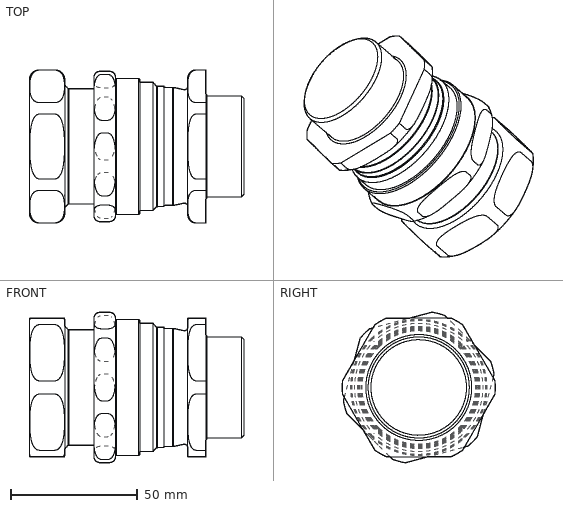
import cadquery as cq
import math


across_flats = 54.9
corner_diameter = 60.6
lock_nut_turn = 15

cap_hex_end = 14.1
cap_bevel_end = 15.4
cap_nut_end = 15.6
lock_hex_start = 25.5
lock_hex_end = 34.2
lock_barrel_start = 34.4
lock_nut_end = 43.8
gasket_bevel_start = 48.9
gasket_bevel_end = 50.2
gasket_end = 50.75
spacer_step = 53.2
spacer_ramp_end = 53.9
spacer_end = 56.7
taper_start = 57.1
entry_hex_start = 62.65
entry_hex_end = 69.9
thread_start = 70.4
overall_length = 85

cap_bevel_diameter = 48.45
neck_diameter = 45.7
lock_barrel_diameter = 54.0
lock_relief_diameter = 53.55
gasket_diameter = 50.8
gasket_lip_diameter = 47.9
spacer_diameter = 47.7
spacer_ramp_diameter = 47.0
spacer_small_diameter = 46.75
gap_diameter = 45.9
taper_end_diameter = 45.0
thread_diameter = 40.0
thread_base_diameter = 41.9

cap_rounding = 4.0
lock_rounding = 3.15
entry_rounding = 3.3
lock_barrel_chamfer = 0.5
thread_chamfer = 1.1
entry_fillet = 1.4

taper_end = entry_hex_start - entry_fillet


def turned(profile):
    """Solid of revolution about X; profile lists (x, diameter) along its outer line."""
    outer = [(x, diameter / 2) for x, diameter in profile]
    points = [(outer[0][0], 0), *outer, (outer[-1][0], 0)]
    return cq.Workplane("XY").polyline(points).close().revolve(360, (0, 0, 0), (1, 0, 0))


def hex_section(start, end, rounded_ends, rounding):
    """Hexagonal prism whose corners are cut by a cylinder with rounded rims."""
    prism = (
        cq.Workplane("YZ", origin=(start, 0, 0))
        .polygon(6, across_flats / math.cos(math.radians(30)))
        .extrude(end - start)
    )
    envelope = (
        cq.Workplane("YZ", origin=(start, 0, 0))
        .circle(corner_diameter / 2)
        .extrude(end - start)
        .faces(rounded_ends)
        .edges()
        .fillet(rounding)
    )
    return prism.intersect(envelope)


def make_cap_nut():
    hexagon = hex_section(0, cap_hex_end, "<X or >X", cap_rounding)
    skirt = turned(
        [
            (cap_hex_end, cap_bevel_diameter),
            (cap_bevel_end, neck_diameter),
            (cap_nut_end, neck_diameter),
        ]
    )
    return hexagon.union(skirt)


def make_neck_sleeve():
    return turned([(cap_nut_end, neck_diameter), (lock_hex_start, neck_diameter)])


def make_lock_nut():
    hexagon = hex_section(lock_hex_start, lock_hex_end, "<X or >X", lock_rounding)
    barrel = turned(
        [
            (lock_hex_end, lock_relief_diameter),
            (lock_barrel_start, lock_relief_diameter),
            (lock_barrel_start, lock_barrel_diameter),
            (lock_nut_end - lock_barrel_chamfer, lock_barrel_diameter),
            (lock_nut_end, lock_barrel_diameter - 2 * lock_barrel_chamfer),
        ]
    )
    return hexagon.union(barrel).rotate((0, 0, 0), (1, 0, 0), lock_nut_turn)


def make_gasket_sleeve():
    return turned(
        [
            (lock_nut_end, gasket_diameter),
            (gasket_bevel_start, gasket_diameter),
            (gasket_bevel_end, gasket_lip_diameter),
            (gasket_end, gasket_lip_diameter),
        ]
    )


def make_spacer_ring():
    return turned(
        [
            (gasket_end, spacer_diameter),
            (spacer_step, spacer_diameter),
            (spacer_step, spacer_ramp_diameter),
            (spacer_ramp_end, spacer_small_diameter),
            (spacer_end, spacer_small_diameter),
        ]
    )


def make_entry_flare():
    """Concave quarter-round foot between the taper and the entry hexagon."""
    radius = taper_end_diameter / 2
    diagonal = entry_fillet * math.sqrt(0.5)
    return (
        cq.Workplane("XY")
        .moveTo(taper_end, 0)
        .lineTo(taper_end, radius)
        .threePointArc(
            (taper_end + diagonal, radius + entry_fillet - diagonal),
            (entry_hex_start, radius + entry_fillet),
        )
        .lineTo(entry_hex_start, 0)
        .close()
        .revolve(360, (0, 0, 0), (1, 0, 0))
    )


def make_entry_body():
    neck = turned(
        [
            (spacer_end, gap_diameter),
            (taper_start, spacer_small_diameter),
            (taper_end, taper_end_diameter),
        ]
    )
    hexagon = hex_section(entry_hex_start, entry_hex_end, "<X", entry_rounding)
    thread = turned(
        [
            (entry_hex_end, thread_base_diameter),
            (thread_start, thread_diameter),
            (overall_length - thread_chamfer, thread_diameter),
            (overall_length, thread_diameter - 2 * thread_chamfer),
        ]
    )
    return neck.union(make_entry_flare()).union(hexagon).union(thread)


bodies = [
    make_cap_nut(),
    make_neck_sleeve(),
    make_lock_nut(),
    make_gasket_sleeve(),
    make_spacer_ring(),
    make_entry_body(),
]
result = cq.Compound.makeCompound([body.val() for body in bodies])